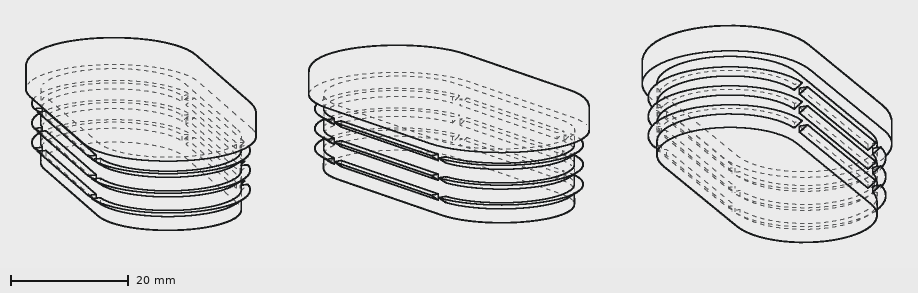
import cadquery as cq

length = 60.0
width = 30.0
height = 18.0
cap_height = 5.0
cap_fillet = 1.0

plug_inset = 2.5
plug_length = length - 2 * plug_inset
plug_width = width - 2 * plug_inset
plug_height = height - cap_height
overlap = 0.6

rib_count = 3
rib_projection = 1.5
rib_thickness = 1.1
rib_pitch = 3.5
lowest_rib_top = 3.55
rib_gap_half = 1.0

joint_x = (length - width) / 2


def stadium(total_length, total_width, depth, bottom):
    """Upright body with straight sides and semicircular ends."""
    return (
        cq.Workplane("XY")
        .workplane(offset=bottom)
        .slot2D(total_length, total_width)
        .extrude(depth)
    )


def rib_profile(plane, radius, rib_top):
    """Triangular rib section, with a root embedded in the plug."""
    root = radius - overlap
    return plane.polyline([
        (root, rib_top),
        (radius + rib_projection, rib_top),
        (radius, rib_top - rib_thickness),
        (root, rib_top - rib_thickness),
    ]).close()


def straight_rib(rib_top):
    """Rib along the +Y straight side, stopping short of the joints."""
    half_length = joint_x - rib_gap_half
    section = rib_profile(cq.Workplane("YZ", origin=(-half_length, 0, 0)), plug_width / 2, rib_top)
    return section.extrude(2 * half_length)


def end_rib(rib_top):
    """Rib around the +X round end, stopping short of the joints."""
    section = rib_profile(cq.Workplane("XZ", origin=(joint_x, 0, 0)), plug_width / 2, rib_top)
    ring = section.revolve(360, (0, 0), (0, 1))
    end_zone = (
        cq.Workplane("XY")
        .box(length, 2 * width, height, centered=(False, True, False))
        .translate((joint_x + rib_gap_half, 0, 0))
    )
    return ring.intersect(end_zone)


cap = stadium(length, width, cap_height, plug_height).faces(">Z").edges().fillet(cap_fillet)
plug = stadium(plug_length, plug_width, plug_height + overlap, 0)
result = cap.union(plug)

for index in range(rib_count):
    top = lowest_rib_top + index * rib_pitch
    side = straight_rib(top)
    end = end_rib(top)
    result = result.union(side).union(side.mirror("XZ"))
    result = result.union(end).union(end.mirror("YZ"))